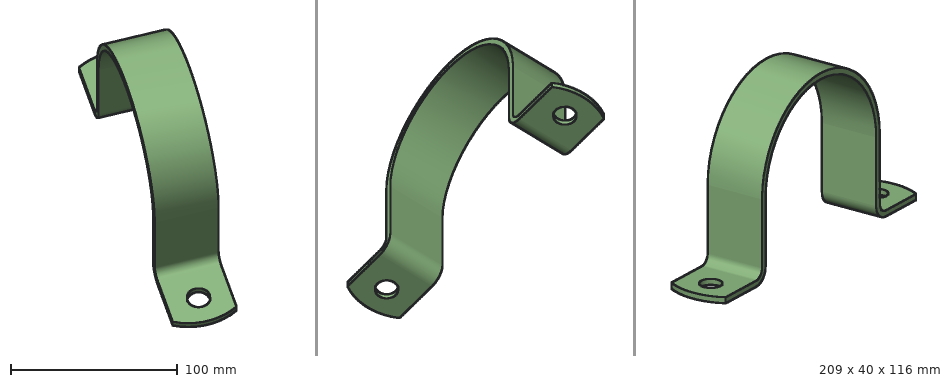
import cadquery as cq

length = 209.0
width = 40.0
height = 116.0
thickness = 4.0
saddle_radius = 61.5
bend_radius = 6.0
hole_diameter = 14.0
hole_offset = 86.3
end_radius = width

half_length = length / 2
inner_radius = saddle_radius - thickness
saddle_center_z = height - saddle_radius
bend_center_x = saddle_radius + bend_radius
bend_center_z = thickness + bend_radius
outer_bend_radius = bend_radius + thickness


def strap_band():
    """Bent strip of constant thickness, extruded across the width."""
    profile = (
        cq.Workplane("XZ")
        .moveTo(-half_length, 0)
        .lineTo(-bend_center_x, 0)
        .radiusArc((-inner_radius, bend_center_z), -outer_bend_radius)
        .lineTo(-inner_radius, saddle_center_z)
        .threePointArc((0, height - thickness), (inner_radius, saddle_center_z))
        .lineTo(inner_radius, bend_center_z)
        .radiusArc((bend_center_x, 0), -outer_bend_radius)
        .lineTo(half_length, 0)
        .lineTo(half_length, thickness)
        .lineTo(bend_center_x, thickness)
        .radiusArc((saddle_radius, bend_center_z), bend_radius)
        .lineTo(saddle_radius, saddle_center_z)
        .threePointArc((0, height), (-saddle_radius, saddle_center_z))
        .lineTo(-saddle_radius, bend_center_z)
        .radiusArc((-bend_center_x, thickness), bend_radius)
        .lineTo(-half_length, thickness)
        .close()
    )
    return profile.extrude(width / 2, both=True)


def rounded_end_envelope():
    """Stadium whose round ends are the end arcs; it trims the foot ends."""
    arc_center_x = half_length - end_radius
    return (
        cq.Workplane("XY")
        .moveTo(-arc_center_x, end_radius)
        .lineTo(arc_center_x, end_radius)
        .threePointArc((half_length, 0), (arc_center_x, -end_radius))
        .lineTo(-arc_center_x, -end_radius)
        .threePointArc((-half_length, 0), (-arc_center_x, end_radius))
        .close()
        .extrude(height)
    )


def foot_holes():
    """Screw hole cutters, one through each foot."""
    return (
        cq.Workplane("XY")
        .pushPoints([(-hole_offset, 0), (hole_offset, 0)])
        .circle(hole_diameter / 2)
        .extrude(thickness)
    )


result = strap_band().intersect(rounded_end_envelope()).cut(foot_holes())